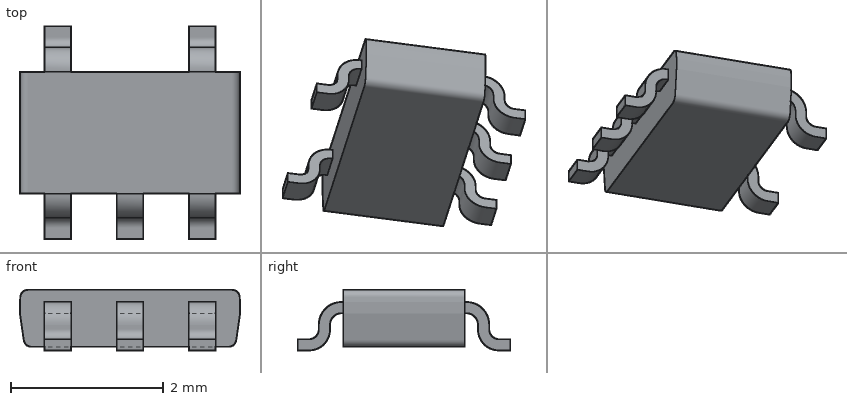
import cadquery as cq

body_length = 2.9
body_depth = 1.6
total_height = 0.8
standoff = 0.05
top_inset = 0.015
bottom_inset = 0.065
edge_radius = 0.102

lead_width = 0.35
lead_thickness = 0.15
lead_pitch = 0.95
lead_top = 0.64
lead_reach = 0.6
shoulder_length = 0.02
shoulder_inner_radius = 0.15
foot_length = 0.15
lead_bottom = 0.0

shoulder_outer_radius = shoulder_inner_radius + lead_thickness
shank_outer = shoulder_length + shoulder_outer_radius
shank_inner = shank_outer - lead_thickness
foot_start = lead_reach - foot_length
foot_inner_radius = foot_start - shank_outer
foot_outer_radius = foot_inner_radius + lead_thickness
lead_underside = lead_top - lead_thickness
foot_top = lead_bottom + lead_thickness


def make_body():
    """Body with straight ends level with the leads, tapering above and below them."""
    half_length = body_length / 2
    half_top = half_length - top_inset
    half_bottom = half_length - bottom_inset
    profile = [
        (-half_bottom, standoff),
        (half_bottom, standoff),
        (half_length, lead_underside),
        (half_length, lead_top),
        (half_top, total_height),
        (-half_top, total_height),
        (-half_length, lead_top),
        (-half_length, lead_underside),
    ]
    block = cq.Workplane("XZ").polyline(profile).close().extrude(body_depth / 2, both=True)
    return block.edges("|Y and (>Z or <Z)").fillet(edge_radius)


def make_lead(x_center):
    """One lead on the -Y face of the body, bent down from its shoulder and out to a flat foot."""
    face = cq.Plane(
        origin=(x_center, -body_depth / 2, 0),
        xDir=(0, -1, 0),
        normal=(-1, 0, 0),
    )
    outline = (
        cq.Workplane(face)
        .moveTo(0, lead_top)
        .lineTo(shoulder_length, lead_top)
        .radiusArc((shank_outer, lead_top - shoulder_outer_radius), shoulder_outer_radius)
        .lineTo(shank_outer, foot_top + foot_inner_radius)
        .radiusArc((foot_start, foot_top), -foot_inner_radius)
        .lineTo(lead_reach, foot_top)
        .lineTo(lead_reach, lead_bottom)
        .lineTo(foot_start, lead_bottom)
        .radiusArc((shank_inner, lead_bottom + foot_outer_radius), foot_outer_radius)
        .lineTo(shank_inner, lead_underside - shoulder_inner_radius)
        .radiusArc((shoulder_length, lead_underside), -shoulder_inner_radius)
        .lineTo(0, lead_underside)
        .close()
    )
    return outline.extrude(lead_width / 2, both=True)


body = make_body()

front_leads = [make_lead(place * lead_pitch) for place in (-1, 0, 1)]
rear_leads = [
    make_lead(place * lead_pitch).mirror("XZ")
    for place in (-1, 1)
]

leads = [lead.val() for lead in front_leads + rear_leads]
result = cq.Compound.makeCompound([body.val(), *leads])